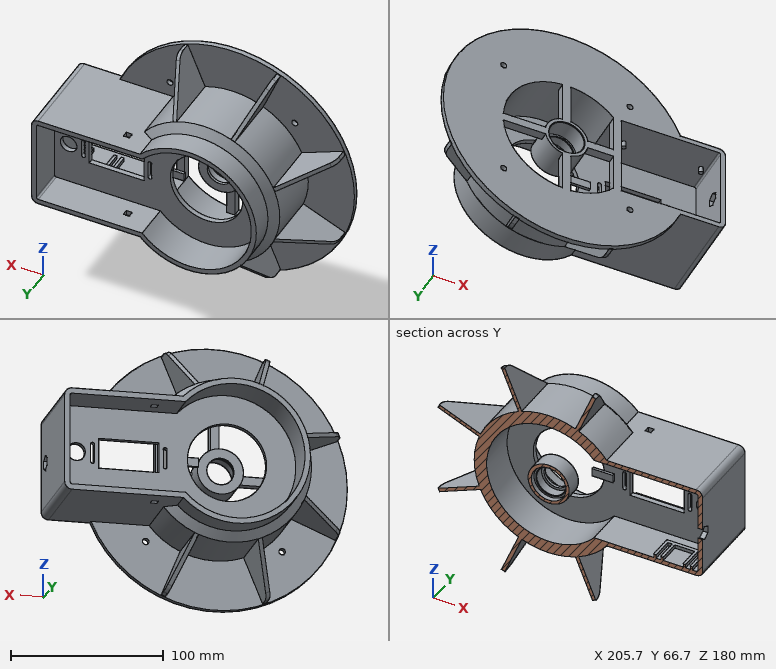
import cadquery as cq
import math

wall = 3.7
depth = 66.7
flange_radius = 90.0
box_end_x = 115.71
box_half_height = 35.0
box_corner_radius = 5.0

drum_radius = 50.0
drum_base_radius = 56.0
cone_start_y = 44.7
cone_end_y = 50.0
bore_radius = drum_radius - wall

gusset_count = 6
gusset_first_angle = 67.5
gusset_angle_step = 45.0
gusset_thickness = 3.0
gusset_tip_radius = 89.3
gusset_shoulder_y = 14.5
gusset_corner_radius = 10.0

cavity_half_height = box_half_height - wall
cavity_end_x = box_end_x - wall
cavity_corner_radius = box_corner_radius - wall
cavity_start_x = math.sqrt(bore_radius**2 - cavity_half_height**2)

spoke_width = 6.0
spoke_depth = 6.0
bar_width = 5.7
hub_radius = 15.6
hub_length = 22.0
hub_chamfer = 0.45
seat_radius = 12.8
seat_depth = 13.0
inner_radius = 11.0
lip_radius = 9.1
lip_thickness = 2.0

partition_y = 37.0
partition_hole_radius = 26.7

pad_start_x = 18.4
pad_thickness = 2.0

servo_center_x = 66.25
servo_length = 40.5
servo_height = 20.5
slot_spacing = 49.0
slot_width = 2.6
slot_length = 14.4
cable_hole_x = 101.7
cable_hole_radius = 6.1

bolt_spacing = 92.0
bolt_hole_diameter = 4.3
hex_hole_flats = 9.0
hex_hole_y = 12.0
vent_size = 4.3
vent_x = 51.9
vent_y = 52.7

peg_x_positions = (50.5, 106.7)
peg_y = partition_y / 2
peg_diameter = 3.1
peg_length = 4.3

rib_height = 2.6
rib_width = 2.1
rib_start_x = 78.7
rib_end_x = 108.2
rib_pair_width = 7.4
rib_front_y = 5.7
rib_back_y = 27.8
rib_bar_width = 2.6


def block(x_range, y_range, z_range):
    """Axis-aligned block between the given limits."""
    size = [high - low for low, high in (x_range, y_range, z_range)]
    corner = (x_range[0], y_range[0], z_range[0])
    return cq.Workplane("XY").box(*size, centered=False).translate(corner)


def plane_at(y):
    """Work plane normal to +Y, with local x = +X and local y = -Z."""
    return cq.Workplane("XZ", origin=(0, y, 0)).transformed(rotate=(180, 0, 0))


def cylinder(radius, start_y, end_y):
    """Cylinder on the main axis."""
    return plane_at(start_y).circle(radius).extrude(end_y - start_y)


def drum():
    profile = [
        (0, 0),
        (drum_base_radius, 0),
        (drum_base_radius, cone_start_y),
        (drum_radius, cone_end_y),
        (drum_radius, depth),
        (0, depth),
    ]
    return cq.Workplane("XY").polyline(profile).close().revolve(360, (0, 0, 0), (0, 1, 0))


def gusset(angle):
    profile = [
        (bore_radius, 0),
        (gusset_tip_radius, 0),
        (gusset_tip_radius, gusset_shoulder_y),
        (drum_base_radius, cone_start_y),
        (bore_radius, cone_start_y),
    ]
    plate = cq.Workplane("XY").polyline(profile).close().extrude(gusset_thickness / 2, both=True)
    shoulder = cq.selectors.NearestToPointSelector((gusset_tip_radius, gusset_shoulder_y, 0))
    plate = plate.edges("|Z").edges(shoulder).fillet(gusset_corner_radius)
    return plate.rotate((0, 0, 0), (0, 1, 0), -angle)


def box_body():
    outline = block((0, box_end_x), (0, depth), (-box_half_height, box_half_height))
    return outline.edges("|Y and >X").fillet(box_corner_radius)


def box_cavity():
    z_range = (-cavity_half_height, cavity_half_height)
    cavity = block((cavity_start_x, cavity_end_x), (0, depth), z_range)
    return cavity.edges("|Y and >X").fillet(cavity_corner_radius)


def partition(hollow):
    """Wall across the whole hollow, with the large hole and the servo openings."""
    back_y = partition_y + wall
    side_limits = (-drum_base_radius, drum_base_radius)
    slab = block((-drum_base_radius, box_end_x), (partition_y, back_y), side_limits).intersect(hollow)
    servo_plane = plane_at(partition_y).center(servo_center_x, 0)
    window = servo_plane.rect(servo_length, servo_height).extrude(wall)
    slot_centers = [(-slot_spacing / 2, 0), (slot_spacing / 2, 0)]
    slots = servo_plane.pushPoints(slot_centers).slot2D(slot_length, slot_width, 90).extrude(wall)
    cable_hole = plane_at(partition_y).center(cable_hole_x, 0).circle(cable_hole_radius).extrude(wall)
    hole = cylinder(partition_hole_radius, partition_y, back_y)
    return slab.cut(hole).cut(window).cut(slots).cut(cable_hole)


def partition_pad():
    """Flat pad from the bore side of the box cavity to just inside the partition hole."""
    half = spoke_width / 2
    return block((pad_start_x, cavity_start_x), (partition_y - pad_thickness, partition_y), (-half, half))


def front_frame():
    """Cross of spokes over the bore and the bar between the bore and the box."""
    half = spoke_width / 2
    bar_end_x = cavity_start_x + bar_width
    across = block((-bore_radius, bar_end_x), (0, spoke_depth), (-half, half))
    upright = block((-half, half), (0, spoke_depth), (-bore_radius, bore_radius))
    z_range = (-cavity_half_height, cavity_half_height)
    bar = block((cavity_start_x, bar_end_x), (0, spoke_depth), z_range)
    return across.union(upright).union(bar)


def hub_bore():
    """Bearing seat, inner bore and lip, the first two with a chamfered mouth."""
    lip_y = hub_length - lip_thickness
    profile = [
        (0, 0),
        (seat_radius + hub_chamfer, 0),
        (seat_radius, hub_chamfer),
        (seat_radius, seat_depth),
        (inner_radius + hub_chamfer, seat_depth),
        (inner_radius, seat_depth + hub_chamfer),
        (inner_radius, lip_y),
        (lip_radius, lip_y),
        (lip_radius, hub_length),
        (0, hub_length),
    ]
    return cq.Workplane("XY").polyline(profile).close().revolve(360, (0, 0, 0), (0, 1, 0))


def pegs():
    root_z = cavity_half_height + wall / 2
    base = cq.Workplane("XY", origin=(0, 0, root_z))
    centers = [(x, peg_y) for x in peg_x_positions]
    return base.pushPoints(centers).circle(peg_diameter / 2).extrude(-peg_length - wall / 2)


def floor_ribs():
    z_range = (-cavity_half_height - wall / 2, -cavity_half_height + rib_height)
    ribs = block((rib_start_x, rib_end_x), (rib_back_y - rib_bar_width, rib_back_y), z_range)
    inner_offset = rib_pair_width - rib_width
    for x in (
        rib_start_x,
        rib_start_x + inner_offset,
        rib_end_x - rib_pair_width,
        rib_end_x - rib_width,
    ):
        ribs = ribs.union(block((x, x + rib_width), (rib_front_y, rib_back_y), z_range))
    return ribs


def bolt_holes():
    corners = plane_at(0).rect(bolt_spacing, bolt_spacing, forConstruction=True).vertices()
    return corners.circle(bolt_hole_diameter / 2).extrude(wall)


def hex_hole():
    across_corners = hex_hole_flats / math.cos(math.pi / 6)
    start = cq.Workplane("YZ", origin=(cavity_end_x - wall / 2, hex_hole_y, 0))
    return start.transformed(rotate=(0, 0, 90)).polygon(6, across_corners).extrude(2 * wall)


def vents():
    half = vent_size / 2
    return block(
        (vent_x - half, vent_x + half),
        (vent_y - half, vent_y + half),
        (-box_half_height, box_half_height),
    )


body = cylinder(flange_radius, 0, wall).union(drum()).union(box_body())
for index in range(gusset_count):
    body = body.union(gusset(gusset_first_angle + index * gusset_angle_step))

hollow = cylinder(bore_radius, 0, depth).union(box_cavity())
body = body.cut(hollow).cut(bolt_holes()).cut(hex_hole()).cut(vents())
body = body.union(partition(hollow)).union(partition_pad()).union(front_frame())
body = body.union(cylinder(hub_radius, 0, hub_length)).cut(hub_bore())
result = body.union(pegs()).union(floor_ribs())